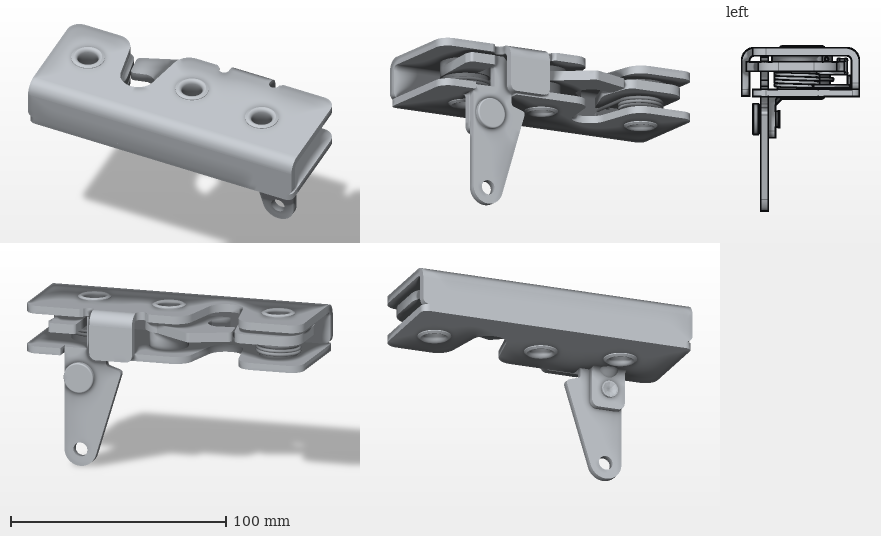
import cadquery as cq
import math


LENGTH = 135.0
DEPTH = 49.7
BASE_THICK = 3.4
COVER_THICK = 3.8
COVER_TOP = 22.8
COVER_UNDER = COVER_TOP - COVER_THICK
BEND_RADIUS = 6.1
MOUTH_CORNER = 6.2
WALL_CORNER = 3.1
BASE_CORNER = 3.4

FLANGE_LEFT = 80.5
FLANGE_RIGHT = 101.3
FLANGE_OUTER = 54.8
FLANGE_BOTTOM = 0.3
RELIEF_WIDTH = 4.9
RELIEF_END = 45.9
RELIEF_LIP = 1.6

THROAT_X = 43.7
THROAT_Y = 27.5
THROAT_RADIUS = 8.4
THROAT_SLOPE = 10.8
THROAT_LIP = 8.4

BUSHINGS = [(17.3, 29.0), (70.6, 29.0), (108.5, 24.3)]
BORE = 9.7
SHANK = 13.2
RIM = 15.7
RIM_TOP = 1.0
RIM_BOTTOM = 1.2
RIM_EDGE = 0.4
CORE = 18.2
COLLAR = 23.5

JAW_BOTTOM = 11.7
JAW_TOP = 16.2
JAW_THICK = JAW_TOP - JAW_BOTTOM
JAW_FOOT = 10.5
LUG_EDGE = 7.2
PAWL_TAB_END = 53.7
PAWL_TAB_CORNER = 1.5

WIRE = 1.6
WIRE_RADIUS = WIRE / 2
WIRE_BITE = 0.07
COIL_RADIUS = CORE / 2 + WIRE_RADIUS - WIRE_BITE
COIL_LOW = 4.9
COIL_HIGH = JAW_BOTTOM - WIRE_RADIUS + WIRE_BITE
COIL_START = 225.0
JAW_TURNS = 3.0 + COIL_START / 360
LEG_GAP = 0.1
LEG_RISE = 4.2
HOOK_END = 9.5
ELBOW_RADIUS = 0.88
PAWL_COIL_RADIUS = 11.5
PAWL_COIL_LOW = 6.7
PAWL_COIL_HIGH = 9.3
PAWL_TURNS = 1.5
PAWL_COIL_START = 180.0
PAWL_WIRE_START = 94.5
PAWL_WIRE_END = 105.3
PAWL_WIRE_Y = 15.2
PAWL_WIRE_Z = 17.4

PIVOT_X = BUSHINGS[2][0]
PIVOT_Z = -10.4
TAB_WIDTH = 16.3
TAB_BACK = 42.4
TAB_FRONT = TAB_BACK - BASE_THICK
TAB_BOTTOM = -19.2
TAB_CORNER = 3.2
TAB_BEND = 2.3
GUSSET_RADIUS = 6.0
GUSSET_DROP = 4.0
LEVER_THICK = 3.5
LEVER_BACK = TAB_BACK + LEVER_THICK
LEVER_TOP = 18.4
LEVER_LEFT = 96.0
LEVER_EYE_Z = -45.3
LEVER_END_RADIUS = 7.8
LEVER_EYE = 6.7
NOTCH_GAP = 0.4

RIVET_HEAD = 14.5
RIVET_HEAD_THICK = 3.1
RIVET_HEAD_ROUND = 0.7
RIVET_NECK = 12.7
RIVET_NECK_THICK = 0.5
RIVET_SHANK = 7.4
RIVET_TAIL = 8.0
RIVET_TAIL_LENGTH = 2.0
RIVET_TAIL_RIM = 0.8
RIVET_DIMPLE = 7.0
DIMPLE_TIP = 0.7
DIMPLE_SIDES = 8
DIMPLE_DEPTH = 1.1


def box(x0, x1, y0, y1, z0, z1):
    return cq.Workplane("XY").box(x1 - x0, y1 - y0, z1 - z0, centered=False).translate((x0, y0, z0))


def disc(centre, diameter, z0, z1):
    return cq.Workplane("XY", origin=(*centre, z0)).circle(diameter / 2).extrude(z1 - z0)


def throat(z0, z1):
    """Tapered striker mouth with a round bottom and rounded lips."""
    lean = math.radians(THROAT_SLOPE)
    side_dx = THROAT_RADIUS * math.cos(lean)
    side_y = THROAT_Y - THROAT_RADIUS * math.sin(lean)
    mouth_dx = side_dx + (DEPTH - side_y) * math.tan(lean)
    lip_length = THROAT_LIP * math.tan(math.pi / 4 - lean / 2)
    lip_dx = mouth_dx - lip_length * math.sin(lean)
    lip_y = DEPTH - lip_length * math.cos(lean)
    lip_centre_dx = mouth_dx + lip_length
    half_turn = math.pi / 4 + lean / 2
    lip_mid_dx = lip_centre_dx - THROAT_LIP * math.cos(half_turn - lean)
    lip_mid_y = DEPTH - THROAT_LIP + THROAT_LIP * math.sin(half_turn - lean)
    return (
        cq.Workplane("XY", origin=(THROAT_X, 0, z0))
        .moveTo(-lip_centre_dx, DEPTH)
        .threePointArc((-lip_mid_dx, lip_mid_y), (-lip_dx, lip_y))
        .lineTo(-side_dx, side_y)
        .threePointArc((0, THROAT_Y - THROAT_RADIUS), (side_dx, side_y))
        .lineTo(lip_dx, lip_y)
        .threePointArc((lip_mid_dx, lip_mid_y), (lip_centre_dx, DEPTH))
        .close()
        .extrude(z1 - z0)
    )


def bent_sheet(x0, x1, y0, y1, z0):
    """Sheet bent down at both Y ends, ending at height z0."""
    outer = box(x0, x1, y0, y1, z0, COVER_TOP).edges("|X and >Z").fillet(BEND_RADIUS)
    inner = box(x0, x1, y0 + COVER_THICK, y1 - COVER_THICK, z0, COVER_UNDER)
    return outer.cut(inner.edges("|X and >Z").fillet(BEND_RADIUS - COVER_THICK))


def relief(flange_side, away):
    """Round-ended bend relief beside the flange; away is the X direction leaving the flange."""
    radius = RELIEF_WIDTH / 2
    far = flange_side + away * RELIEF_WIDTH
    return (
        cq.Workplane("XY", origin=(0, 0, COVER_UNDER - BEND_RADIUS))
        .moveTo(flange_side, DEPTH)
        .lineTo(flange_side, RELIEF_END + radius)
        .threePointArc((flange_side + away * radius, RELIEF_END), (far, RELIEF_END + radius))
        .lineTo(far + away * RELIEF_LIP, DEPTH)
        .close()
        .extrude(COVER_THICK + BEND_RADIUS)
    )


def make_cover():
    """Top plate with the closed wall, the mouth-side flange, the throat and the bushing holes."""
    sheet = bent_sheet(0, LENGTH, 0, FLANGE_OUTER, FLANGE_BOTTOM)
    middle = DEPTH / 2
    wall_half = sheet.intersect(box(0, LENGTH, 0, middle, BASE_THICK, COVER_TOP))
    wall_half = wall_half.edges("|Y and <Z").fillet(WALL_CORNER)
    mouth_half = box(0, LENGTH, middle, DEPTH, COVER_UNDER, COVER_TOP)
    mouth_half = mouth_half.edges("|Z and >Y").fillet(MOUTH_CORNER)
    flange = sheet.intersect(
        box(FLANGE_LEFT, FLANGE_RIGHT, RELIEF_END, FLANGE_OUTER, FLANGE_BOTTOM, COVER_TOP)
    )
    flange = flange.edges("|Y and <Z").fillet(WALL_CORNER)
    cover = wall_half.union(mouth_half)
    cover = cover.cut(box(FLANGE_LEFT, FLANGE_RIGHT, RELIEF_END, DEPTH, COVER_UNDER, COVER_TOP))
    cover = cover.union(flange)
    cover = cover.cut(relief(FLANGE_LEFT, -1)).cut(relief(FLANGE_RIGHT, 1))
    cover = cover.cut(throat(COVER_UNDER, COVER_TOP))
    for centre in BUSHINGS:
        cover = cover.cut(disc(centre, SHANK, COVER_UNDER, COVER_TOP))
    return cover


def make_base_plate():
    """Flat base with the throat, the lever notch and the hanging pivot tab."""
    tab_left = PIVOT_X - TAB_WIDTH / 2
    tab_right = PIVOT_X + TAB_WIDTH / 2
    plate = box(0, LENGTH, 0, DEPTH, 0, BASE_THICK)
    plate = plate.edges("|Z and >Y").fillet(MOUTH_CORNER).edges("|Z and <Y").fillet(BASE_CORNER)
    plate = plate.cut(throat(0, BASE_THICK))
    plate = plate.cut(
        box(LEVER_LEFT - NOTCH_GAP, tab_right + NOTCH_GAP, TAB_BACK, DEPTH, 0, BASE_THICK)
    )
    tab = box(tab_left, tab_right, TAB_FRONT, TAB_BACK, TAB_BOTTOM, BASE_THICK)
    tab = tab.edges("|Y and <Z").fillet(TAB_CORNER)
    bend = box(tab_left, tab_right, TAB_FRONT - TAB_BEND, TAB_FRONT, -TAB_BEND, 0)
    bend_round = (
        cq.Workplane("YZ", origin=(tab_left, TAB_FRONT - TAB_BEND, -TAB_BEND))
        .circle(TAB_BEND)
        .extrude(TAB_WIDTH)
    )
    gusset = (
        cq.Workplane("XZ")
        .circle(GUSSET_RADIUS)
        .extrude(GUSSET_DROP * 2, both=True)
        .translate((0, 0, GUSSET_RADIUS))
        .rotate((0, 0, 0), (1, 0, 0), -45)
        .translate((PIVOT_X, TAB_FRONT, -GUSSET_DROP))
        .intersect(
            box(tab_left, tab_right, TAB_FRONT - GUSSET_DROP, TAB_FRONT, -GUSSET_DROP, 0)
        )
    )
    pivot_hole = (
        cq.Workplane("XZ", origin=(PIVOT_X, TAB_BACK, PIVOT_Z)).circle(RIVET_SHANK / 2).extrude(BASE_THICK)
    )
    return plate.union(tab).union(bend.cut(bend_round)).union(gusset).cut(pivot_hole)


def make_bushing(core_diameter):
    """Tubular pivot with a rolled rim at each end, about the Z axis."""
    bore, shank, rim = BORE / 2, SHANK / 2, RIM / 2
    core, collar = core_diameter / 2, COLLAR / 2
    flare = shank - bore
    flare_mid = flare * (1 - math.sqrt(0.5))
    top = COVER_TOP + RIM_TOP
    return (
        cq.Workplane("XZ")
        .moveTo(bore, flare - RIM_BOTTOM)
        .lineTo(bore, top - flare)
        .threePointArc((bore + flare_mid, top - flare_mid), (shank, top))
        .lineTo(rim, COVER_TOP + RIM_EDGE)
        .lineTo(rim, COVER_TOP)
        .lineTo(shank, COVER_TOP)
        .lineTo(shank, COVER_UNDER)
        .lineTo(collar, COVER_UNDER)
        .lineTo(collar, JAW_TOP)
        .lineTo(core, JAW_TOP)
        .lineTo(core, BASE_THICK)
        .lineTo(shank, BASE_THICK)
        .lineTo(shank, 0)
        .lineTo(rim, 0)
        .lineTo(rim, -RIM_EDGE)
        .lineTo(shank, -RIM_BOTTOM)
        .threePointArc((bore + flare_mid, flare_mid - RIM_BOTTOM), (bore, flare - RIM_BOTTOM))
        .close()
        .revolve(360, (0, 0, 0), (0, 1, 0))
    )


def make_guide_jaw():
    """Jaw on the first bushing that closes the left side of the throat."""
    return (
        cq.Workplane("XY", origin=(0, 0, JAW_BOTTOM))
        .moveTo(2.5, 21.3)
        .lineTo(2.5, 37.6)
        .radiusArc((12.0, 47.1), 9.5)
        .lineTo(29.5, 47.1)
        .radiusArc((34.1, 43.3), 4.7)
        .lineTo(36.5, 31.2)
        .radiusArc((35.9, 24.8), 15.7)
        .lineTo(29.3, LUG_EDGE)
        .lineTo(21.6, LUG_EDGE)
        .lineTo(25.0, JAW_FOOT)
        .lineTo(13.4, JAW_FOOT)
        .radiusArc((2.5, 21.3), 10.8)
        .close()
        .extrude(JAW_THICK)
    )


def make_hook_jaw():
    """Hooked jaw on the second bushing that closes over the striker."""
    return (
        cq.Workplane("XY", origin=(0, 0, JAW_BOTTOM))
        .moveTo(55.3, 52.1)
        .lineTo(72.9, 40.2)
        .threePointArc((81.0, 24.3), (67.5, 17.3))
        .lineTo(44.5, 17.8)
        .lineTo(43.7, 19.2)
        .lineTo(50.6, 26.0)
        .threePointArc((50.2, 32.8), (44.4, 36.6))
        .lineTo(37.8, 35.1)
        .radiusArc((36.0, 36.3), 1.6)
        .lineTo(35.1, 44.3)
        .radiusArc((36.7, 46.3), 2.0)
        .lineTo(53.0, 52.5)
        .radiusArc((55.3, 52.1), 2.4)
        .close()
        .extrude(JAW_THICK)
    )


def make_pawl():
    """Pawl on the third bushing, with a rounded tab reaching out of the mouth side."""
    x, y = BUSHINGS[2]
    body = disc((x, y), COLLAR, JAW_BOTTOM, JAW_TOP)
    arm = (
        cq.Workplane("XY", origin=(0, 0, JAW_BOTTOM))
        .moveTo(x, y)
        .lineTo(x, PAWL_TAB_END)
        .lineTo(121.7, PAWL_TAB_END)
        .lineTo(122.8, DEPTH)
        .lineTo(x + COLLAR / 2, y)
        .close()
        .extrude(JAW_THICK)
        .edges("|Z and >Y")
        .fillet(PAWL_TAB_CORNER)
    )
    return body.union(arm)


def rod(start, end):
    """Straight wire with an elbow ball at each end."""
    span = cq.Vector(*end) - cq.Vector(*start)
    body = cq.Workplane(obj=cq.Solid.makeCylinder(WIRE_RADIUS, span.Length, cq.Vector(*start), span))
    for point in (start, end):
        body = body.union(cq.Workplane("XY").sphere(ELBOW_RADIUS).translate(point))
    return body


def wire_path(points):
    """Bent wire running straight from point to point."""
    wire = rod(points[0], points[1])
    for start, end in zip(points[1:], points[2:]):
        wire = wire.union(rod(start, end))
    return wire


def make_coil(centre, radius, low, high, turns, start_angle):
    """Left-handed coil of round wire rising from start_angle (degrees from +X)."""
    helix = cq.Wire.makeHelix((high - low) / turns, high - low, radius, lefthand=True)
    coil = cq.Workplane("XZ", origin=(radius, 0, 0)).circle(WIRE_RADIUS).sweep(helix, isFrenet=True)
    return coil.rotate((0, 0, 0), (0, 0, 1), start_angle).translate((*centre, low))


def make_jaw_hook():
    """Upper spring leg, running along -Y and hooked around the jaw lug."""
    x = BUSHINGS[0][0] + COIL_RADIUS
    turn_y = LUG_EDGE - WIRE_RADIUS + WIRE_BITE
    top = JAW_TOP + WIRE_RADIUS - WIRE_BITE
    return wire_path([
        (x, BUSHINGS[0][1], COIL_HIGH),
        (x, turn_y, COIL_HIGH),
        (x, turn_y, top),
        (x, HOOK_END, top),
    ])


def make_wall_leg():
    """Lower spring leg, tangent to the coil and turned up beside the closed wall."""
    angle = math.radians(COIL_START)
    start_x = BUSHINGS[0][0] + COIL_RADIUS * math.cos(angle)
    start_y = BUSHINGS[0][1] + COIL_RADIUS * math.sin(angle)
    end_y = COVER_THICK + LEG_GAP + ELBOW_RADIUS
    length = (end_y - start_y) / math.cos(angle)
    end_x = start_x - length * math.sin(angle)
    return wire_path([
        (start_x, start_y, COIL_LOW),
        (end_x, end_y, COIL_LOW),
        (end_x, end_y, COIL_LOW + LEG_RISE),
    ])


def make_mechanism():
    """Base plate with everything riveted to it as one solid."""
    pawl_core = 2 * (PAWL_COIL_RADIUS - WIRE_RADIUS + WIRE_BITE)
    body = make_base_plate()
    for jaw in (make_guide_jaw(), make_hook_jaw(), make_pawl()):
        body = body.union(jaw)
    for centre, core in zip(BUSHINGS, (CORE, CORE, pawl_core)):
        body = body.cut(disc(centre, SHANK, -RIM_BOTTOM, COVER_TOP))
        body = body.union(make_bushing(core).translate((*centre, 0)))
    springs = [
        make_coil(BUSHINGS[0], COIL_RADIUS, COIL_LOW, COIL_HIGH, JAW_TURNS, COIL_START),
        make_jaw_hook(),
        make_wall_leg(),
        make_coil(
            BUSHINGS[2], PAWL_COIL_RADIUS, PAWL_COIL_LOW, PAWL_COIL_HIGH, PAWL_TURNS, PAWL_COIL_START
        ),
        rod((PAWL_WIRE_START, PAWL_WIRE_Y, PAWL_WIRE_Z), (PAWL_WIRE_END, PAWL_WIRE_Y, PAWL_WIRE_Z)),
    ]
    for piece in springs:
        body = body.union(piece)
    return body


def make_lever_blade():
    """Flat lever: finger through the base, shoulder, tapered arm and eye."""
    right = PIVOT_X + LEVER_END_RADIUS
    shoulder = (89.0, -8.5)
    dx = PIVOT_X - shoulder[0]
    dz = LEVER_EYE_Z - shoulder[1]
    distance = math.hypot(dx, dz)
    aim = math.atan2(dz, dx) - math.asin(LEVER_END_RADIUS / distance)
    tangent_x = PIVOT_X + LEVER_END_RADIUS * math.sin(aim)
    tangent_z = LEVER_EYE_Z - LEVER_END_RADIUS * math.cos(aim)
    return (
        cq.Workplane("XZ", origin=(0, LEVER_BACK, 0))
        .moveTo(right, LEVER_EYE_Z)
        .lineTo(right, BASE_THICK)
        .lineTo(105.3, BASE_THICK)
        .lineTo(105.3, LEVER_TOP)
        .lineTo(100.3, LEVER_TOP)
        .lineTo(98.5, 16.6)
        .lineTo(98.5, 7.7)
        .lineTo(LEVER_LEFT, 4.9)
        .lineTo(LEVER_LEFT, -3.2)
        .radiusArc((94.9, -4.9), 1.8)
        .lineTo(89.9, -6.5)
        .radiusArc(shoulder, -1.6)
        .lineTo(tangent_x, tangent_z)
        .threePointArc((PIVOT_X, LEVER_EYE_Z - LEVER_END_RADIUS), (right, LEVER_EYE_Z))
        .close()
        .moveTo(PIVOT_X, LEVER_EYE_Z)
        .circle(LEVER_EYE / 2)
        .extrude(LEVER_THICK)
    )


def pivot_disc(diameter, y0, y1):
    return cq.Workplane("XZ", origin=(PIVOT_X, y1, PIVOT_Z)).circle(diameter / 2).extrude(y1 - y0)


def make_rivet():
    """Rounded head and neck behind the lever, shank through the tab, dimpled tail in front."""
    neck_end = LEVER_BACK + RIVET_NECK_THICK
    tail_end = TAB_FRONT - RIVET_TAIL_LENGTH
    head = pivot_disc(RIVET_HEAD, neck_end, neck_end + RIVET_HEAD_THICK)
    head = head.faces(">Y").edges().fillet(RIVET_HEAD_ROUND)
    head = head.faces("<Y").edges().chamfer(RIVET_HEAD_ROUND)
    dimple = (
        cq.Workplane("XZ", origin=(PIVOT_X, tail_end, PIVOT_Z))
        .polygon(DIMPLE_SIDES, RIVET_DIMPLE)
        .workplane(offset=-DIMPLE_DEPTH)
        .polygon(DIMPLE_SIDES, DIMPLE_TIP)
        .loft(ruled=True)
    )
    return (
        pivot_disc(RIVET_NECK, LEVER_BACK, neck_end)
        .union(head)
        .union(pivot_disc(RIVET_SHANK, tail_end, LEVER_BACK))
        .union(pivot_disc(RIVET_TAIL, tail_end, tail_end + RIVET_TAIL_RIM))
        .cut(dimple)
    )


def make_lever():
    """Release lever with its pivot rivet as one solid."""
    return make_lever_blade().union(make_rivet())


cover = make_cover()
mechanism = make_mechanism()
lever = make_lever()

result = cq.Compound.makeCompound([cover.solids().val(), mechanism.solids().val(), lever.solids().val()])